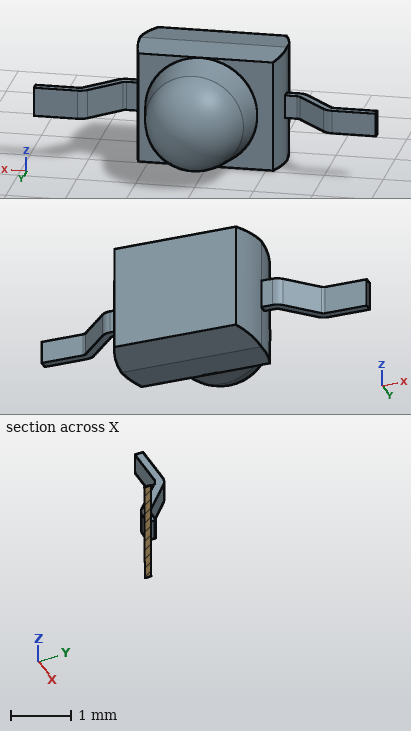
import cadquery as cq
import math


parting_width = 2.5
front_width = 2.17
rear_width = 2.285
parting_height = 2.0
front_height = 1.855
rear_height = 1.915
front_y = -0.75
rear_y = 0.665

lens_x = 0.075
lens_tip_y = 1.955
lens_joint_y = 1.26
lens_base_radius = 0.95
lens_joint_radius = 0.835

lead_span = 5.8
lead_thickness = 0.15
lead_inner_radius = 0.075
lead_top_y = 0.735
lead_bend_x = 1.45
lead_bend_angle = math.radians(45)
left_lead_width = 0.4
right_lead_width = 0.5


def bulge_midpoint(end_width, end_y):
    """Middle of the +X side arc that runs parallel to Y at the parting plane."""
    inset = (parting_width - end_width) / 2
    radius = (end_y**2 + inset**2) / (2 * inset)
    half_angle = math.asin(end_y / radius) / 2
    x = parting_width / 2 - radius * (1 - math.cos(half_angle))
    return x, radius * math.sin(half_angle)


def make_housing_block():
    """Block with bulging X sides and straight drafted Z sides."""
    front_mid_x, front_mid_y = bulge_midpoint(front_width, front_y)
    rear_mid_x, rear_mid_y = bulge_midpoint(rear_width, rear_y)
    bulged = (
        cq.Workplane("XY")
        .moveTo(-front_width / 2, front_y)
        .lineTo(front_width / 2, front_y)
        .threePointArc((front_mid_x, front_mid_y), (parting_width / 2, 0))
        .threePointArc((rear_mid_x, rear_mid_y), (rear_width / 2, rear_y))
        .lineTo(-rear_width / 2, rear_y)
        .threePointArc((-rear_mid_x, rear_mid_y), (-parting_width / 2, 0))
        .threePointArc((-front_mid_x, front_mid_y), (-front_width / 2, front_y))
        .close()
        .extrude(parting_height / 2, both=True)
    )
    drafted = (
        cq.Workplane("YZ")
        .polyline([
            (front_y, -front_height / 2),
            (0, -parting_height / 2),
            (rear_y, -rear_height / 2),
            (rear_y, rear_height / 2),
            (0, parting_height / 2),
            (front_y, front_height / 2),
        ])
        .close()
        .extrude(parting_width / 2, both=True)
    )
    return bulged.intersect(drafted)


def make_lens():
    """Revolved lens; its profile starts at the parting plane so it fuses with the block."""
    cap_height = lens_tip_y - lens_joint_y
    cap_radius = (cap_height**2 + lens_joint_radius**2) / (2 * cap_height)
    cap_center_y = lens_tip_y - cap_radius
    cap_mid_angle = math.asin(lens_joint_radius / cap_radius) / 2
    cap_mid = (
        cap_radius * math.sin(cap_mid_angle),
        cap_center_y + cap_radius * math.cos(cap_mid_angle),
    )
    profile = (
        cq.Workplane("XY")
        .moveTo(0, 0)
        .lineTo(lens_base_radius, 0)
        .lineTo(lens_base_radius, rear_y)
        .lineTo(lens_joint_radius, lens_joint_y)
        .threePointArc(cap_mid, (0, lens_tip_y))
        .close()
    )
    return profile.revolve(360, (0, 0, 0), (0, 1, 0)).translate((lens_x, 0, 0))


def make_lead(width, side, housing):
    """Strip with two opposite bends, butting on the housing side (side is -1 or +1 along X)."""
    outer_radius = lead_inner_radius + lead_thickness
    low_center_y = outer_radius
    high_center_y = lead_top_y - outer_radius
    middle_radius = lead_inner_radius + lead_thickness / 2
    rise = high_center_y - low_center_y + 2 * middle_radius * math.cos(lead_bend_angle)
    run = rise / math.tan(lead_bend_angle)
    high_center_x = lead_bend_x + run + 2 * middle_radius * math.sin(lead_bend_angle)

    def low_bend(radius, angle):
        return (
            side * (lead_bend_x + radius * math.sin(angle)),
            low_center_y - radius * math.cos(angle),
        )

    def high_bend(radius, angle):
        return (
            side * (high_center_x - radius * math.sin(angle)),
            high_center_y + radius * math.cos(angle),
        )

    half_angle = lead_bend_angle / 2
    end_x = side * lead_span / 2
    strip = (
        cq.Workplane("XY")
        .moveTo(0, 0)
        .lineTo(*low_bend(outer_radius, 0))
        .threePointArc(low_bend(outer_radius, half_angle), low_bend(outer_radius, lead_bend_angle))
        .lineTo(*high_bend(lead_inner_radius, lead_bend_angle))
        .threePointArc(high_bend(lead_inner_radius, half_angle), high_bend(lead_inner_radius, 0))
        .lineTo(end_x, lead_top_y - lead_thickness)
        .lineTo(end_x, lead_top_y)
        .lineTo(*high_bend(outer_radius, 0))
        .threePointArc(high_bend(outer_radius, half_angle), high_bend(outer_radius, lead_bend_angle))
        .lineTo(*low_bend(lead_inner_radius, lead_bend_angle))
        .threePointArc(low_bend(lead_inner_radius, half_angle), low_bend(lead_inner_radius, 0))
        .lineTo(0, lead_thickness)
        .close()
        .extrude(width / 2, both=True)
    )
    return strip.cut(housing)


housing = make_housing_block().union(make_lens())

leads = []
for lead_width, lead_side in [(left_lead_width, -1), (right_lead_width, 1)]:
    leads.append(make_lead(lead_width, lead_side, housing).solids().val())

result = cq.Compound.makeCompound([housing.solids().val(), *leads])